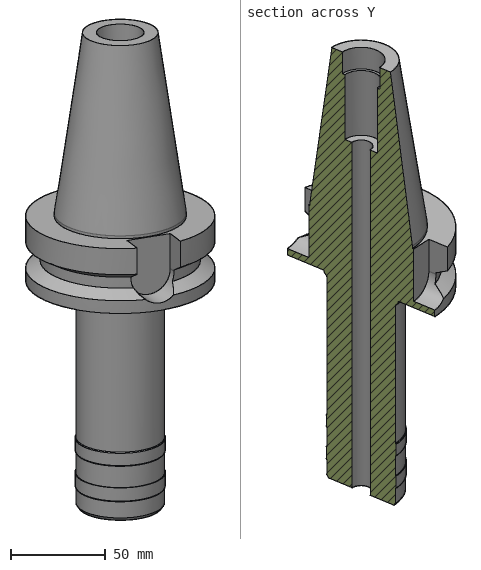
import cadquery as cq

total_length = 266.8
gauge_level = 165.1
flange_top = 163.5
flange_bottom = 127.0

taper_large_radius = 35.0
taper_small_radius = 20.0

flange_diameter = 100.0
flange_radius = flange_diameter / 2
groove_floor_radius = 42.5
groove_bottom = 134.2
groove_top = 149.0
groove_flank_height = 4.3

collar_radius = 25.3
collar_height = 1.0
collar_cone_height = 2.0

shank_radius = 23.5
nose_chamfer_width = 1.3
nose_chamfer_height = 2.0
band_height = 0.4
band_chamfer = 0.5
lower_band_bottom = 11.0
lower_band_top = 19.0
upper_band_bottom = 31.0
upper_band_top = 39.0

slot_width = 25.0
slot_floor_distance = 35.8
slot_bottom = 131.3

coolant_radius = 6.1
pilot_radius = 12.5
pilot_depth = 13.3
thread_radius = 11.0
thread_depth = 53.4


def make_body():
    """Revolve the outside contour of the holder about Z."""
    collar_edge = flange_bottom - collar_height
    band_radius = shank_radius + band_height
    contour = [
        (0, 0),
        (shank_radius - nose_chamfer_width, 0),
        (shank_radius, nose_chamfer_height),
        (shank_radius, lower_band_bottom),
        (band_radius, lower_band_bottom + band_chamfer),
        (band_radius, lower_band_top),
        (shank_radius, lower_band_top),
        (shank_radius, upper_band_bottom),
        (band_radius, upper_band_bottom + band_chamfer),
        (band_radius, upper_band_top - band_chamfer),
        (shank_radius, upper_band_top),
        (shank_radius, collar_edge - collar_cone_height),
        (collar_radius, collar_edge),
        (collar_radius, flange_bottom),
        (flange_radius, flange_bottom),
        (flange_radius, groove_bottom),
        (groove_floor_radius, groove_bottom + groove_flank_height),
        (groove_floor_radius, groove_top - groove_flank_height),
        (flange_radius, groove_top),
        (flange_radius, flange_top),
        (taper_large_radius, flange_top),
        (taper_large_radius, gauge_level),
        (taper_small_radius, total_length),
        (0, total_length),
    ]
    return cq.Workplane("XZ").polyline(contour).close().revolve(360, (0, 0), (0, 1))


def cut_drive_slot(body, side):
    """Cut a round-bottomed drive slot into the flange on the +X or -X side."""
    half_width = slot_width / 2
    arc_center = slot_bottom + half_width
    slot = (
        cq.Workplane("YZ", origin=(side * slot_floor_distance, 0, 0))
        .moveTo(-half_width, flange_top)
        .lineTo(-half_width, arc_center)
        .threePointArc((0, slot_bottom), (half_width, arc_center))
        .lineTo(half_width, flange_top)
        .close()
        .extrude(side * flange_radius)
    )
    return body.cut(slot)


def cut_axial_bores(body):
    """Bore the pilot and thread recess from the taper end and the through passage."""
    top = body.faces(">Z").workplane(origin=(0, 0, total_length))
    body = top.circle(pilot_radius).cutBlind(-pilot_depth)
    top = body.faces(">Z").workplane(origin=(0, 0, total_length))
    body = top.circle(thread_radius).cutBlind(-thread_depth)
    top = body.faces(">Z").workplane(origin=(0, 0, total_length))
    return top.circle(coolant_radius).cutThruAll()


result = make_body()
for slot_side in (-1, 1):
    result = cut_drive_slot(result, slot_side)
result = cut_axial_bores(result)